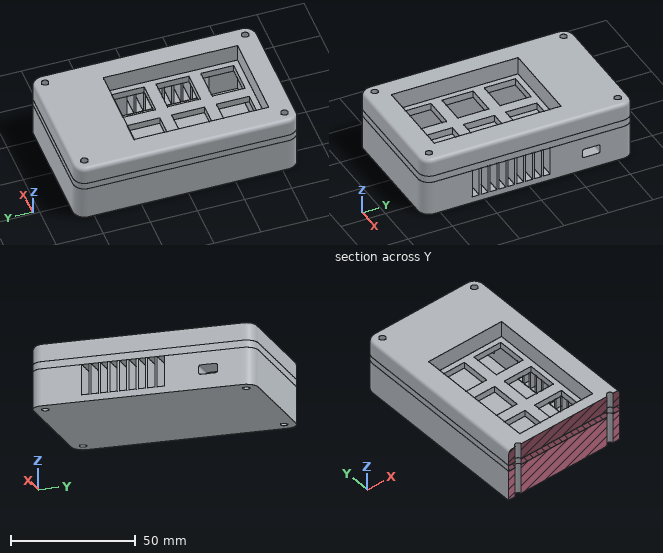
import cadquery as cq

CASE_WIDTH = 58.0
CASE_LENGTH = 95.0
CASE_HEIGHT = 26.7
CORNER_RADIUS = 5.0
TOP_EDGE_RADIUS = 2.0

PLATE_THICKNESS = 3.0
COVER_THICKNESS = 8.0
BASE_HEIGHT = CASE_HEIGHT - COVER_THICKNESS - PLATE_THICKNESS
PLATE_TOP = BASE_HEIGHT + PLATE_THICKNESS

SCREW_DIAMETER = 2.9
SCREW_SPACING_X = CASE_WIDTH - 2 * CORNER_RADIUS
SCREW_SPACING_Y = CASE_LENGTH - 2 * CORNER_RADIUS

KEY_COLUMNS = 2
KEY_ROWS = 3
KEY_PITCH = 19.0
KEY_CUTOUT = 14.0
WINDOW_WIDTH = KEY_COLUMNS * KEY_PITCH
WINDOW_LENGTH = KEY_ROWS * KEY_PITCH
WINDOW_MARGIN = 10.0
WINDOW_CENTER_Y = -CASE_LENGTH / 2 + WINDOW_MARGIN + WINDOW_LENGTH / 2

WALL_THICKNESS = 10.0
FLOOR_THICKNESS = 3.0
CAVITY_WIDTH = CASE_WIDTH - 2 * WALL_THICKNESS
CAVITY_LENGTH = CASE_LENGTH - 2 * WALL_THICKNESS
CAVITY_SIDE_X = CAVITY_WIDTH / 2

SLOT_COUNT = 9
SLOT_WIDTH = 3.0
SLOT_PITCH = 4.0
SLOT_SILL = 2.85
FIRST_SLOT_Y = 9.5

PORT_START_Y = 23.9
PORT_WIDTH = 8.0
PORT_HEIGHT = 4.0
PORT_SILL = 6.2
PORT_CORNER_RADIUS = 0.95


def layer(bottom, thickness):
    """Rounded-corner slab, and the cylinders that cut its corner screw holes."""
    slab = (
        cq.Workplane("XY", origin=(0, 0, bottom))
        .rect(CASE_WIDTH, CASE_LENGTH)
        .extrude(thickness)
        .edges("|Z")
        .fillet(CORNER_RADIUS)
    )
    screws = (
        cq.Workplane("XY", origin=(0, 0, bottom))
        .rect(SCREW_SPACING_X, SCREW_SPACING_Y, forConstruction=True)
        .vertices()
        .circle(SCREW_DIAMETER / 2)
        .extrude(thickness)
    )
    return slab, screws


def wall_opening(start_y, width, sill, height):
    """Block that cuts the +X wall from the sill up through height, spanning width toward +Y."""
    return cq.Workplane("XY", origin=(CAVITY_SIDE_X, start_y, sill)).box(
        WALL_THICKNESS, width, height, centered=False
    )


def make_base():
    """Thick-walled tray with vent slots and a cable port in its +X wall."""
    slab, screws = layer(0, BASE_HEIGHT)
    cavity = (
        cq.Workplane("XY", origin=(0, 0, FLOOR_THICKNESS))
        .rect(CAVITY_WIDTH, CAVITY_LENGTH)
        .extrude(BASE_HEIGHT - FLOOR_THICKNESS)
    )
    base = slab.cut(screws).cut(cavity)
    slot_height = BASE_HEIGHT - SLOT_SILL
    for index in range(SLOT_COUNT):
        slot_start_y = FIRST_SLOT_Y - index * SLOT_PITCH - SLOT_WIDTH
        base = base.cut(wall_opening(slot_start_y, SLOT_WIDTH, SLOT_SILL, slot_height))
    port = wall_opening(PORT_START_Y, PORT_WIDTH, PORT_SILL, PORT_HEIGHT)
    return base.cut(port.edges("|X").fillet(PORT_CORNER_RADIUS))


def make_key_plate():
    """Flat plate with a grid of square switch cutouts."""
    slab, screws = layer(BASE_HEIGHT, PLATE_THICKNESS)
    cutouts = (
        cq.Workplane("XY", origin=(0, WINDOW_CENTER_Y, BASE_HEIGHT))
        .rarray(KEY_PITCH, KEY_PITCH, KEY_COLUMNS, KEY_ROWS)
        .rect(KEY_CUTOUT, KEY_CUTOUT)
        .extrude(PLATE_THICKNESS)
    )
    return slab.cut(screws).cut(cutouts)


def make_cover():
    """Top frame with a rounded upper edge and one window around all the keys."""
    slab, screws = layer(PLATE_TOP, COVER_THICKNESS)
    window = (
        cq.Workplane("XY", origin=(0, WINDOW_CENTER_Y, PLATE_TOP))
        .rect(WINDOW_WIDTH, WINDOW_LENGTH)
        .extrude(COVER_THICKNESS)
    )
    rounded = slab.faces(">Z").edges().fillet(TOP_EDGE_RADIUS)
    return rounded.cut(screws).cut(window)


base = make_base()
key_plate = make_key_plate()
cover = make_cover()

result = cq.Compound.makeCompound([base.val(), key_plate.val(), cover.val()])